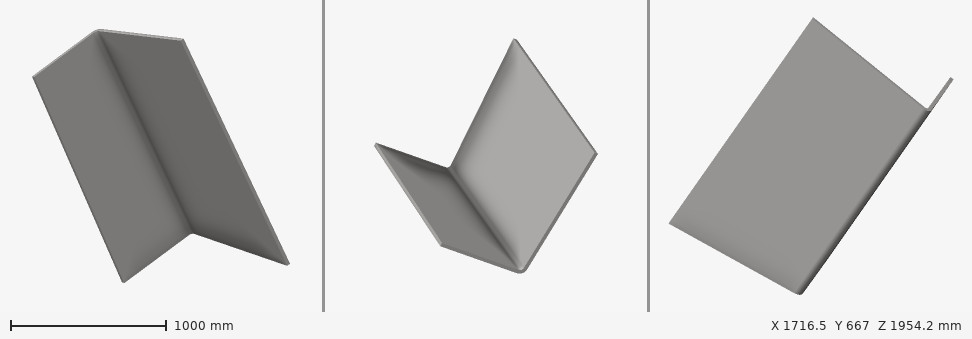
import cadquery as cq
import math

thickness = 25.0
inner_radius = 25.0
outer_radius = inner_radius + thickness

flange_length = 1607.0
panel_width = 965.0
end_flare = 94.0
back_corner_depth = 667.0

panel_rise = 2.7
fold_lean = 1.7
part_turn = 31.8

rise_slope = math.tan(math.radians(panel_rise))
lean_slope = math.tan(math.radians(fold_lean))
fold_height = back_corner_depth - panel_width * rise_slope - end_flare * lean_slope

overrun = 391


def folded_stock():
    """Oversized L-section sheet, with its fold leaning in the flange plane."""
    reach = panel_width + overrun
    rise = reach * rise_slope
    stock_length = flange_length + 2 * overrun
    outer = (
        cq.Workplane("XY")
        .polyline([(0, -fold_height - overrun), (0, 0), (reach, rise), (reach, -fold_height - overrun)])
        .close()
        .extrude(stock_length)
        .edges(cq.selectors.NearestToPointSelector((0, 0, stock_length / 2)))
        .fillet(outer_radius)
    )
    drop = thickness / math.cos(math.radians(panel_rise))
    inner_top = thickness * rise_slope - drop
    inner = (
        cq.Workplane("XY")
        .polyline([
            (thickness, -fold_height - overrun),
            (thickness, inner_top),
            (reach, rise - drop),
            (reach, -fold_height - overrun),
        ])
        .close()
        .extrude(stock_length)
        .edges(cq.selectors.NearestToPointSelector((thickness, inner_top, stock_length / 2)))
        .fillet(inner_radius)
    )
    stock = outer.cut(inner).translate((0, 0, -overrun))
    return stock.rotate((0, 0, 0), (1, 0, 0), fold_lean).translate((0, fold_height, 0))


def trim_envelope():
    """Flared outline cut straight through along Y, starting at the flange edge."""
    return (
        cq.Workplane("XZ")
        .polyline([
            (0, 0),
            (panel_width, -end_flare),
            (panel_width, flange_length + end_flare),
            (0, flange_length),
        ])
        .close()
        .extrude(-(back_corner_depth + overrun))
    )


bent_plate = folded_stock().intersect(trim_envelope())
lower_corner_x = flange_length * math.sin(math.radians(part_turn))
result = bent_plate.rotate((0, 0, 0), (0, 1, 0), -part_turn).translate((lower_corner_x, 0, 0))